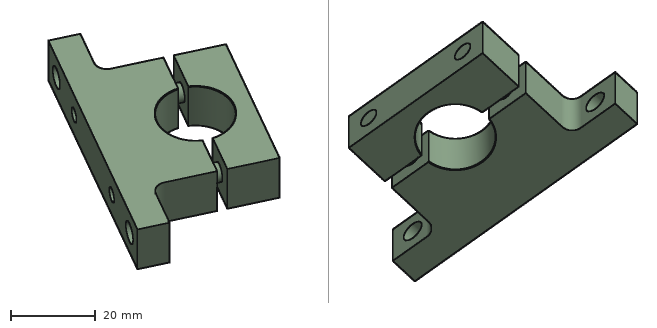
import cadquery as cq

LENGTH = 69.85
DEPTH = 39.7
HEIGHT = 12.7

FLANGE_DEPTH = 7.95
BLOCK_LENGTH = 42.05
FILLET_RADIUS = 3.15
GAP_FRONT = 24.2
GAP_WIDTH = 2.5
GAP_BACK = GAP_FRONT + GAP_WIDTH

BORE_DIAMETER = 19.0
BORE_CHAMFER = 0.175
BORE_Y = GAP_FRONT + GAP_WIDTH / 2

MOUNT_DIAMETER = 5.65
MOUNT_X = 28.65
SCREW_DIAMETER = 4.9
SCREW_X = 14.75
ACCESS_DIAMETER = 3.8
SCREW_START = FLANGE_DEPTH


def rod(x, diameter, y_start, y_end):
    """Cylinder along Y at mid height."""
    return (
        cq.Workplane("XZ", origin=(x, y_start, HEIGHT / 2))
        .circle(diameter / 2)
        .extrude(y_start - y_end)
    )


def block(length, y_start, y_end):
    """Full-height box centred on X."""
    return (
        cq.Workplane("XY")
        .center(0, (y_start + y_end) / 2)
        .rect(length, y_end - y_start)
        .extrude(HEIGHT)
    )


def make_bore():
    """Shaft bore with a small chamfer at both ends."""
    rim_radius = BORE_DIAMETER / 2 + BORE_CHAMFER
    profile = [
        (0, 0),
        (rim_radius, 0),
        (BORE_DIAMETER / 2, BORE_CHAMFER),
        (BORE_DIAMETER / 2, HEIGHT - BORE_CHAMFER),
        (rim_radius, HEIGHT),
        (0, HEIGHT),
    ]
    return (
        cq.Workplane("XZ", origin=(0, BORE_Y, 0))
        .polyline(profile)
        .close()
        .revolve(360, (0, 0), (0, 1))
    )


def make_screw(x):
    """Clamp screw joining the base and the cap."""
    return rod(x, SCREW_DIAMETER, SCREW_START, DEPTH)


def make_base():
    """Flanged lower half with mounting holes and stepped screw holes."""
    flange = block(LENGTH, 0, FLANGE_DEPTH)
    body = flange.union(block(BLOCK_LENGTH, 0, GAP_FRONT))
    inner_corner = cq.selectors.BoxSelector(
        (-BLOCK_LENGTH / 2 - 0.7, FLANGE_DEPTH - 0.7, 0),
        (BLOCK_LENGTH / 2 + 0.7, FLANGE_DEPTH + 0.7, HEIGHT),
    )
    body = body.edges("|Z").edges(inner_corner).fillet(FILLET_RADIUS)
    body = body.cut(make_bore())
    for side in (-1, 1):
        body = body.cut(rod(side * MOUNT_X, MOUNT_DIAMETER, 0, FLANGE_DEPTH))
        body = body.cut(rod(side * SCREW_X, ACCESS_DIAMETER, 0, SCREW_START))
        body = body.cut(make_screw(side * SCREW_X))
    return body


def make_cap():
    """Upper half of the clamp with screw holes."""
    body = block(BLOCK_LENGTH, GAP_BACK, DEPTH).cut(make_bore())
    for side in (-1, 1):
        body = body.cut(make_screw(side * SCREW_X))
    return body


base = make_base()
cap = make_cap()
screws = [make_screw(side * SCREW_X) for side in (-1, 1)]

result = cq.Compound.makeCompound(
    [base.solids().val(), cap.solids().val(), *[screw.val() for screw in screws]]
)